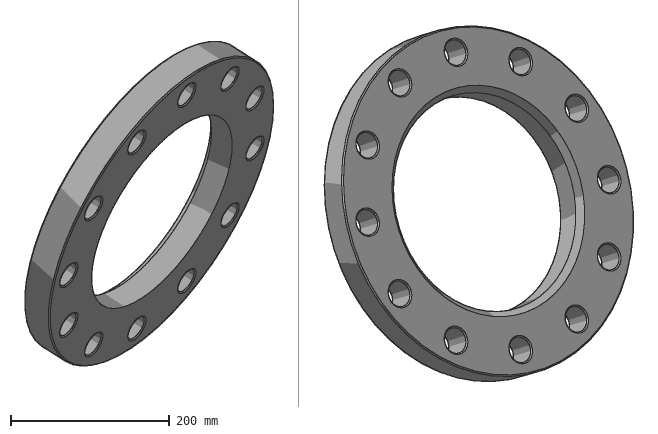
import cadquery as cq
import math

outer_diameter = 450.0
thickness = 42.0
bore_diameter = 281.0
bore_bevel = 8.0
rim_chamfer = 2.0

bolt_count = 12
bolt_circle_diameter = 385.0
bolt_hole_diameter = 33.0
bolt_hole_chamfer = 2.0

front_x = -thickness / 2
back_x = thickness / 2


def ring_body():
    """Revolve the ring section, given as (x, radius) points, about the X axis."""
    outer_radius = outer_diameter / 2
    bore_radius = bore_diameter / 2
    section = [
        (front_x, bore_radius + bore_bevel),
        (front_x, outer_radius - rim_chamfer),
        (front_x + rim_chamfer, outer_radius),
        (back_x - rim_chamfer, outer_radius),
        (back_x, outer_radius - rim_chamfer),
        (back_x, bore_radius),
        (front_x + bore_bevel, bore_radius),
    ]
    return cq.Workplane("XY").polyline(section).close().revolve(360, (0, 0, 0), (1, 0, 0))


def bolt_hole_cutter(y, z):
    """Through hole along X at (y, z), chamfered at both faces."""
    hole_radius = bolt_hole_diameter / 2
    mouth_radius = hole_radius + bolt_hole_chamfer
    section = [
        (front_x, 0),
        (front_x, mouth_radius),
        (front_x + bolt_hole_chamfer, hole_radius),
        (back_x - bolt_hole_chamfer, hole_radius),
        (back_x, mouth_radius),
        (back_x, 0),
    ]
    cutter = cq.Workplane("XY").polyline(section).close().revolve(360, (0, 0, 0), (1, 0, 0))
    return cutter.translate((0, y, z))


result = ring_body()

bolt_pitch = 2 * math.pi / bolt_count
for index in range(bolt_count):
    angle = (index + 0.5) * bolt_pitch
    hole_y = bolt_circle_diameter / 2 * math.cos(angle)
    hole_z = bolt_circle_diameter / 2 * math.sin(angle)
    result = result.cut(bolt_hole_cutter(hole_y, hole_z))